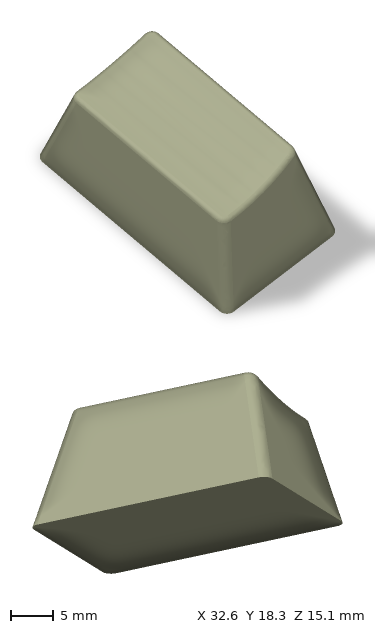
import cadquery as cq
import math

length = 32.6
depth = 18.3

end_lean = 14.3
front_back_lean = 11.4

dish_radius = 25.42
dish_low_y = -5.05
dish_low_z = 12.87

corner_radius = 1.2
rim_radius = 0.62

blank_height = 19.55


def tapered_blank():
    """Four-sided frustum with its sloping corners rounded."""
    end_inset = blank_height * math.tan(math.radians(end_lean))
    front_back_inset = blank_height * math.tan(math.radians(front_back_lean))
    frustum = (
        cq.Workplane("XY")
        .rect(length, depth)
        .workplane(offset=blank_height)
        .rect(length - 2 * end_inset, depth - 2 * front_back_inset)
        .loft(ruled=True)
    )
    return frustum.edges("not #Z").fillet(corner_radius)


def dish_cutter():
    """Cylinder along X whose underside forms the dished top."""
    return (
        cq.Workplane("YZ")
        .center(dish_low_y, dish_low_z + dish_radius)
        .circle(dish_radius)
        .extrude(length, both=True)
    )


dished_body = tapered_blank().cut(dish_cutter())
result = dished_body.faces(">Z").edges().fillet(rim_radius)